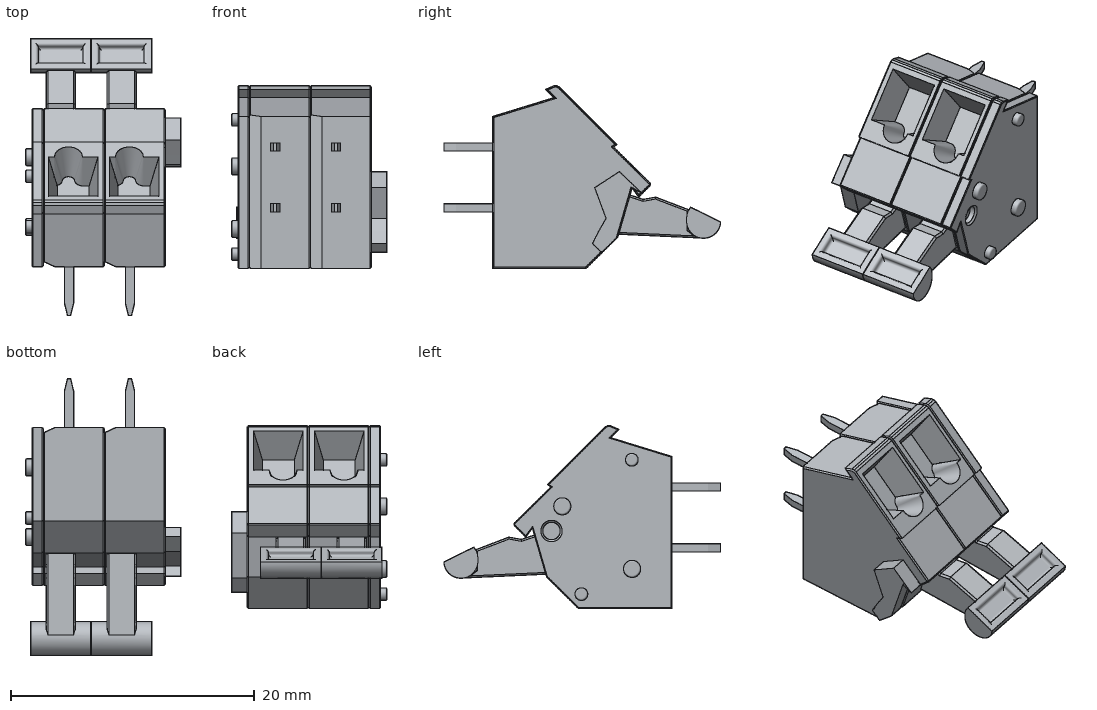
import cadquery as cq
import math


POLE_COUNT = 2
POLE_PITCH = 5.0
PLATE_THICKNESS = 0.93
NEAR_EDGE_BREAK = 0.07
FAR_EDGE_BREAK = 0.11
POLE_STARTS = [PLATE_THICKNESS + i * POLE_PITCH for i in range(POLE_COUNT)]
BLOCK_END = PLATE_THICKNESS + POLE_COUNT * POLE_PITCH

REAR_HEIGHT = 12.48
BLOCK_HEIGHT = 15.0
FOOT_DEPTH = 7.68
SHIN = (10.3, 2.6)
NECK = (11.45, 6.6)
STEP_TOP = (10.23, 10.15)
SIDE_OUTLINE = [
    (0, 0),
    (FOOT_DEPTH, 0),
    SHIN,
    NECK,
    (12.0, 5.86),
    (12.98, 6.85),
    (12.98, 6.98),
    (9.93, 9.98),
    STEP_TOP,
    (5.48, 14.9),
    (5.27, BLOCK_HEIGHT),
    (5.05, BLOCK_HEIGHT),
    (4.35, 14.7),
    (5.02, 14.02),
    (0, REAR_HEIGHT),
]
REAR_CUT_WIDTH = 0.93
REAR_CUT_DEPTH = 0.43

STUD_LENGTH = 0.55
STUD_ROUND = 0.14
STUDS = [
    (3.3, 12.2, 1.05),
    (9.0, 8.39, 1.4),
    (3.27, 3.25, 1.4),
    (7.43, 1.18, 1.05),
]
SOCKET_CENTRE = (9.89, 6.36)
SOCKET_DIAMETER = 1.43
SOCKET_DEPTH = 0.6
SOCKET_RIM = 0.15

ENTRY_OFFSET = 2.43
ENTRY_WIDTH = 4.07
ENTRY_TOP_Y = 5.82
ENTRY_BOTTOM_Y = 9.02
ENTRY_DEPTH = 2.64
ENTRY_TAPER = 0.73
GUIDE_OFFSET = 2.05
GUIDE_HALF_WIDTH = 1.18
GUIDE_FLARE_START = 0.05
GUIDE_FLARE_END = 0.68
GUIDE_CROWN_START = 1.11
GUIDE_CROWN_END = 0.39

PIN_OFFSET = 2.1
PIN_WIDTH = 0.77
PIN_HEIGHT = 0.68
PIN_LENGTH = 4.0
PIN_TIP_LENGTH = 1.02
PIN_TIP_WIDTH = 0.27
LOWER_PIN_Z = 4.98
PIN_ROW_PITCH = 5.0
PIN_ROWS = 2

LEVER_OFFSET = 1.4
LEVER_HEAD_WIDTH = 4.95
LEVER_ARM_WIDTH = 2.4
LEVER_ARM_EDGE_BREAK = 0.15
LEVER_ARM_OUTLINE = [
    (9.1, 2.86),
    (17.05, 2.5),
    (16.14, 3.18),
    (16.14, 4.82),
    (13.39, 5.86),
    (12.37, 5.68),
    (10.23, 6.39),
]
HEAD_TIP = (18.73, 3.82)
HEAD_HEEL = (16.25, 5.05)
HEAD_BELLY = (17.32, 2.48)
HEAD_BACK = (15.93, 4.0)
HEAD_UPPER_BACK = (15.95, 4.36)
HEAD_FLAT = (16.07, 4.75)
DISH_WIDTH = 3.68
DISH_LENGTH = 1.5
DISH_DEPTH = 0.5
DISH_ROUND = 0.2

LUG_LENGTH = 1.27
LUG_OUTLINE = [
    (10.4, 7.95),
    (12.23, 6.2),
    (11.36, 6.65),
    (10.18, 2.5),
    (8.95, 1.32),
    (8.2, 2.05),
    (8.7, 3.05),
    (9.32, 4.11),
    (8.39, 6.64),
    (9.15, 7.14),
]


def slab(outline, start, thickness):
    """A (Y, Z) outline extruded along +X from X = start."""
    return cq.Workplane("YZ", origin=(start, 0, 0)).polyline(outline).close().extrude(thickness)


def broken_edge_slab(start, thickness):
    """The side outline as a slab with chamfered rims."""
    body = slab(SIDE_OUTLINE, start, thickness)
    body = body.faces("<X").chamfer(NEAR_EDGE_BREAK)
    return body.faces(">X").chamfer(FAR_EDGE_BREAK)


def make_end_plate():
    plate = broken_edge_slab(0, PLATE_THICKNESS)
    for y, z, diameter in STUDS:
        stud = cq.Workplane("YZ", origin=(0, y, z)).circle(diameter / 2).extrude(-STUD_LENGTH)
        plate = plate.union(stud.faces("<X").edges().fillet(STUD_ROUND))
    socket_radius = SOCKET_DIAMETER / 2
    socket = cq.Workplane("YZ", origin=(0, *SOCKET_CENTRE)).circle(socket_radius).extrude(SOCKET_DEPTH)
    rim = cq.Solid.makeCone(
        socket_radius + SOCKET_RIM, socket_radius, SOCKET_RIM,
        cq.Vector(0, *SOCKET_CENTRE), cq.Vector(1, 0, 0),
    )
    return plate.cut(socket).cut(cq.Workplane(rim))


def slope_point(x, y):
    """Point on the upper 45 degree front slope."""
    return (x, y, sum(STEP_TOP) - y)


def guide_section(plane, base, flare, crown):
    """Bell-shaped section standing on the mouth wall: an arched crown between two flared feet."""
    half_crown = GUIDE_HALF_WIDTH - flare
    foot_bend = flare * (1 - math.sqrt(0.5))
    bend_x = half_crown + foot_bend
    bend_y = base + foot_bend
    foot_top = base + flare
    return (
        plane
        .moveTo(-GUIDE_HALF_WIDTH, base)
        .threePointArc((-bend_x, bend_y), (-half_crown, foot_top))
        .threePointArc((0, foot_top + crown), (half_crown, foot_top))
        .threePointArc((bend_x, bend_y), (GUIDE_HALF_WIDTH, base))
        .close()
    )


def wire_entry(pole_start):
    """Tapered rectangular mouth joined with a narrowing wire guide, both square to the front slope."""
    into_block = cq.Vector(0, -1, -1)
    middle = slope_point(pole_start + ENTRY_OFFSET, (ENTRY_TOP_Y + ENTRY_BOTTOM_Y) / 2)
    mouth_height = (ENTRY_BOTTOM_Y - ENTRY_TOP_Y) * math.sqrt(2)
    mouth = (
        cq.Workplane(cq.Plane(middle, (1, 0, 0), into_block))
        .rect(ENTRY_WIDTH, mouth_height)
        .extrude(ENTRY_DEPTH, taper=math.degrees(math.atan2(ENTRY_TAPER, ENTRY_DEPTH)))
    )
    guide_start = slope_point(pole_start + GUIDE_OFFSET, ENTRY_BOTTOM_Y)
    front = guide_section(cq.Workplane(cq.Plane(guide_start, (-1, 0, 0), into_block)),
                          0, GUIDE_FLARE_START, GUIDE_CROWN_START)
    bottom = guide_section(front.workplane(offset=ENTRY_DEPTH),
                           -ENTRY_TAPER, GUIDE_FLARE_END, GUIDE_CROWN_END)
    return mouth.union(bottom.loft(ruled=True, combine=False))


def make_housing(pole_start):
    housing = broken_edge_slab(pole_start, POLE_PITCH)
    rear_cut = (
        cq.Workplane("XY", origin=(pole_start, 0, 0))
        .polyline([(0, 0), (REAR_CUT_WIDTH, 0), (0, REAR_CUT_DEPTH)])
        .close()
        .extrude(BLOCK_HEIGHT)
    )
    return housing.cut(rear_cut).cut(wire_entry(pole_start))


def make_pin(x, z):
    """Flat pin that narrows in X towards its tip."""
    half = PIN_WIDTH / 2
    half_tip = PIN_TIP_WIDTH / 2
    shoulder = PIN_TIP_LENGTH - PIN_LENGTH
    return (
        cq.Workplane("XY", origin=(x, 0, z - PIN_HEIGHT / 2))
        .polyline([(-half, 0), (-half, shoulder), (-half_tip, -PIN_LENGTH),
                   (half_tip, -PIN_LENGTH), (half, shoulder), (half, 0)])
        .close()
        .extrude(PIN_HEIGHT)
    )


def cut_dish(head):
    """Cut a finger dish with rounded floor and rim into the sloping top of a lever head."""
    slope = cq.Vector(0, HEAD_TIP[0] - HEAD_HEEL[0], HEAD_TIP[1] - HEAD_HEEL[1])
    middle = cq.Vector(0, *HEAD_HEEL) + slope / 2
    into_head = (0, slope.z, -slope.y)
    top = cq.Plane(middle, (1, 0, 0), into_head)
    dish = cq.Workplane(top).rect(DISH_WIDTH, DISH_LENGTH).extrude(DISH_DEPTH)
    floor = cq.selectors.DirectionMinMaxSelector(cq.Vector(into_head), True)
    dish = dish.faces(floor).edges().fillet(DISH_ROUND)
    head = head.cut(dish)
    holed_faces = [face for face in head.faces().vals() if face.innerWires()]
    rim = holed_faces[0].innerWires()[0]
    return head.newObject(rim.Edges()).fillet(DISH_ROUND)


def make_lever(middle_x):
    """Lever whose arm ends on the sloping front face of its housing."""
    arm = slab(LEVER_ARM_OUTLINE, -LEVER_ARM_WIDTH / 2, LEVER_ARM_WIDTH)
    arm = arm.faces("<X or >X").chamfer(LEVER_ARM_EDGE_BREAK)
    arm = arm.cut(slab(SIDE_OUTLINE, -LEVER_ARM_WIDTH / 2, LEVER_ARM_WIDTH))
    head = (
        cq.Workplane("YZ", origin=(-LEVER_HEAD_WIDTH / 2, 0, 0))
        .moveTo(*HEAD_TIP)
        .threePointArc(HEAD_BELLY, HEAD_BACK)
        .threePointArc(HEAD_UPPER_BACK, HEAD_FLAT)
        .lineTo(*HEAD_HEEL)
        .close()
        .extrude(LEVER_HEAD_WIDTH)
    )
    return cut_dish(head).union(arm).translate((middle_x, 0, 0))


end_plate = make_end_plate()
housings = [make_housing(start) for start in POLE_STARTS]
levers = [make_lever(start + LEVER_OFFSET) for start in POLE_STARTS]
pins = [
    make_pin(start + PIN_OFFSET, LOWER_PIN_Z + row * PIN_ROW_PITCH)
    for start in POLE_STARTS
    for row in range(PIN_ROWS)
]
coupling_lug = slab(LUG_OUTLINE, BLOCK_END, LUG_LENGTH)

result = cq.Compound.makeCompound(
    [body.val() for body in [end_plate, *housings, *levers, *pins, coupling_lug]]
)